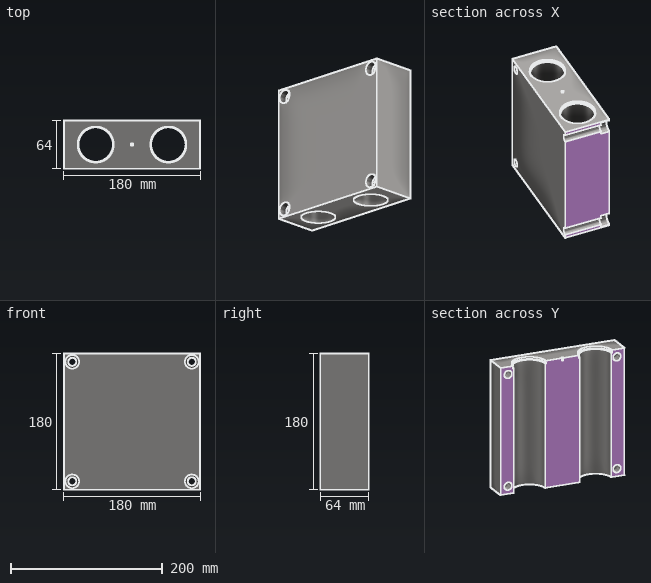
import cadquery as cq

side = 180.0
thickness = 64.0

screw_edge_distance = 11.2
screw_diameter = 10.5
screw_head_diameter = 18.0
screw_head_depth = 12.0

bore_spacing = 96.0
bore_diameter = 45.4
recess_diameter = 47.0
recess_depth = 4.0
groove_diameter = 47.7
groove_height = 0.9

centre_diameter = 1.6
centre_depth = 3.6
centre_sink_diameter = 3.5
centre_sink_angle = 60


def make_block():
    return cq.Workplane("XY").box(side, thickness, side)


def cut_screw_holes(body):
    spacing = side - 2 * screw_edge_distance
    return (
        body.faces("<Y")
        .workplane(centerOption="CenterOfBoundBox")
        .rarray(spacing, spacing, 2, 2)
        .cboreHole(screw_diameter, screw_head_diameter, screw_head_depth)
    )


def cut_bores(body):
    return (
        body.faces(">Z")
        .workplane(centerOption="CenterOfBoundBox")
        .rarray(bore_spacing, 1.8, 2, 1)
        .cboreHole(bore_diameter, recess_diameter, recess_depth)
    )


def cut_grooves(body):
    groove_floor = side / 2 - recess_depth
    grooves = (
        cq.Workplane("XY")
        .workplane(offset=groove_floor)
        .rarray(bore_spacing, 1.8, 2, 1)
        .circle(groove_diameter / 2)
        .extrude(groove_height)
    )
    return body.cut(grooves)


def cut_centre_hole(body):
    return (
        body.faces(">Z")
        .workplane(centerOption="CenterOfBoundBox")
        .cskHole(centre_diameter, centre_sink_diameter, centre_sink_angle, centre_depth)
    )


result = make_block()
result = cut_screw_holes(result)
result = cut_bores(result)
result = cut_grooves(result)
result = cut_centre_hole(result)